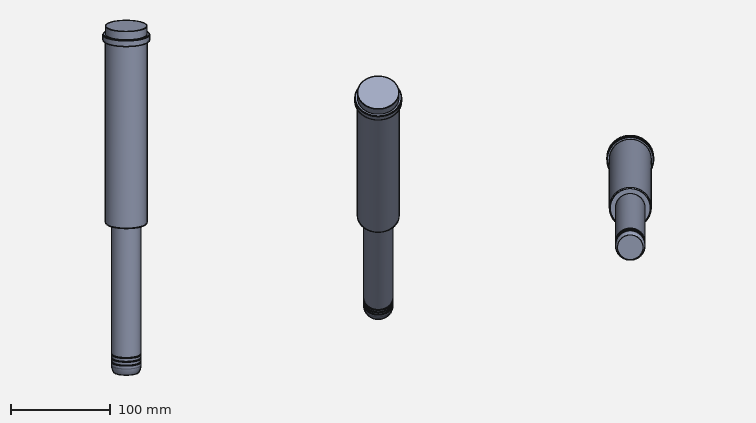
import cadquery as cq

total_length = 360.0
rod_diameter = 30.0
sleeve_diameter = 42.0
collar_diameter = 47.0
sleeve_bottom = 154.5
sleeve_bottom_chamfer = 1.0

collar_top = total_length - 8.5
collar_height = 7.0
collar_bottom = collar_top - collar_height
collar_chamfer = 0.7
head_diameter = 41.8
head_chamfer = 0.5

ring_groove_bottoms = (10.0, 14.0, 18.0)
ring_groove_width = 1.0
ring_groove_depth = 0.5

tip_height = 7.2
tip_inset = 2.0
tip_bulge = 0.55


def cylinder(diameter, bottom, height):
    return cq.Workplane("XY", origin=(0, 0, bottom)).circle(diameter / 2).extrude(height)


def ring_cutter(diameter, depth, bottom, height):
    """Ring that cuts a groove into a cylinder of the given diameter."""
    outer = cylinder(diameter + 2 * depth, bottom, height)
    return outer.cut(cylinder(diameter - 2 * depth, bottom, height))


def make_rod():
    radius = rod_diameter / 2
    tip_radius = radius - tip_inset
    arc_middle = (radius - tip_inset / 2 + tip_bulge, tip_height / 2)
    rod = (
        cq.Workplane("XZ")
        .lineTo(tip_radius, 0)
        .threePointArc(arc_middle, (radius, tip_height))
        .lineTo(radius, sleeve_bottom)
        .lineTo(0, sleeve_bottom)
        .close()
        .revolve(360, (0, 0, 0), (0, 1, 0))
    )
    for bottom in ring_groove_bottoms:
        rod = rod.cut(ring_cutter(rod_diameter, ring_groove_depth, bottom, ring_groove_width))
    return rod


def make_sleeve():
    sleeve = cylinder(sleeve_diameter, sleeve_bottom, collar_bottom - sleeve_bottom)
    return sleeve.faces("<Z").edges().chamfer(sleeve_bottom_chamfer)


def make_collar():
    collar = cylinder(collar_diameter, collar_bottom, collar_height)
    return collar.faces("<Z or >Z").edges().chamfer(collar_chamfer)


def make_head():
    head = cylinder(head_diameter, collar_top, total_length - collar_top)
    return head.faces(">Z").edges().chamfer(head_chamfer)


result = make_rod().union(make_sleeve()).union(make_collar()).union(make_head())